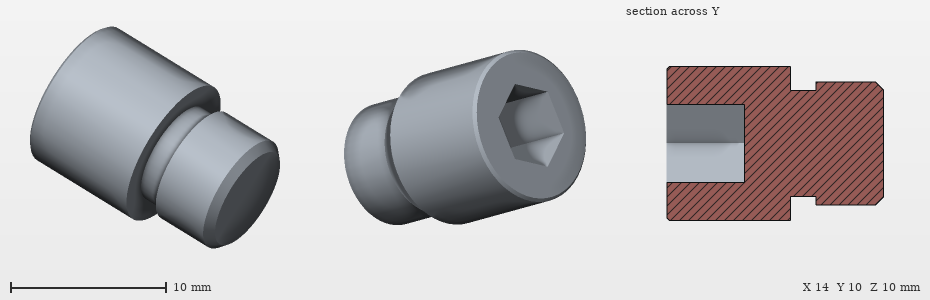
import cadquery as cq
import math

total_length = 14.0
head_length = 8.0
groove_width = 1.61
pilot_length = total_length - head_length - groove_width

head_diameter = 10.0
groove_diameter = 6.9
pilot_diameter = 8.0

head_chamfer = 0.2
pilot_chamfer = 0.55

socket_across_flats = 5.0
socket_depth = 5.0


def cylinder_along_x(start, length, diameter):
    return cq.Workplane("YZ", origin=(start, 0, 0)).circle(diameter / 2).extrude(length)


def hex_socket():
    """Socket cutter with its corners on the Y axis and flats facing up and down."""
    across_corners = socket_across_flats / math.cos(math.pi / 6)
    return cq.Workplane("YZ").polygon(6, across_corners).extrude(socket_depth)


head = cylinder_along_x(0, head_length, head_diameter).faces("<X").chamfer(head_chamfer)
groove = cylinder_along_x(head_length, groove_width, groove_diameter)
pilot = cylinder_along_x(head_length + groove_width, pilot_length, pilot_diameter)
pilot = pilot.faces(">X").chamfer(pilot_chamfer)

result = head.union(groove).union(pilot).cut(hex_socket())